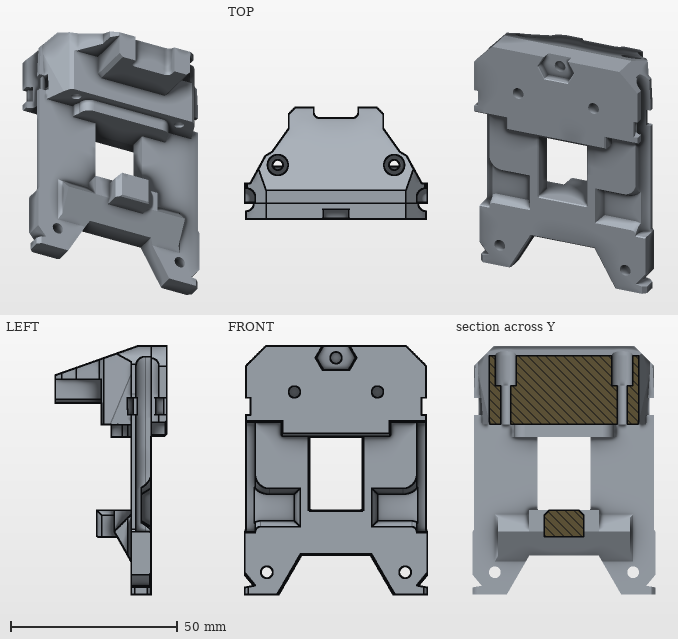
import cadquery as cq
import math


height = 74.85
clamp_thickness = 4.8
plate_thickness = 6.0
total_depth = 33.7
bracket_rear_y = total_depth - clamp_thickness
upper_half_width = 27.1
foot_half_width = 55.0 / 2
corner_chamfer = 6.1
edge_chamfer = 0.45
margin = 3.75
tolerance = 0.1

clamp_groove_radius = 4.7 / 2
groove_wall_x = 24.25
groove_depth = 4.6
groove_floor_z = 18.85
groove_lip = 0.3

notch_bottom_z = 54.1
notch_top_z = 59.2
notch_floor_x = 25.75
tunnel_center_y = 1.8
tunnel_outer_radius = 5.85
tunnel_inner_radius = 3.75

clamp_bottom_z = 51.9
tongue_half_width = 16.5
tongue_bottom_z = 47.6
tongue_chamfer = 0.9
screw_diameter = 3.5
clamp_screw_x = 12.5
clamp_screw_z = 61.0
nut_z = 71.25
nut_half_height = 3.6
nut_half_width = 5.9
nut_side_lean = 30.0
nut_pocket_depth = 3.0

shoulder_z = 19.6
arch_top_z = 11.8
arch_half_width = 10.4
arch_angle = 30.0
foot_inner_x = arch_half_width + arch_top_z * math.tan(math.radians(arch_angle))
foot_top_z = 2.2
foot_notch_x = 24.8
foot_notch_z = 2.7
foot_notch_top_z = 6.0
foot_chamfer = 1.1
foot_screw_x = 20.8
foot_screw_z = 6.7

window_half_width = 7.9
window_bottom_z = 25.45
sill_chamfer = 0.3
boss_bottom_z = 47.4
pocket_inner_x = 10.8
pocket_bottom_z = 20.4
pocket_top_z = 31.95
pocket_depth = 3.0
pocket_draft = 30.5
pocket_top_radius = 4.1
pocket_bottom_radius = 1.5

bracket_bottom_z = 51.1
flange_bottom_z = 64.75
flange_front_y = 15.0
roof_start_y = 3.9
roof_rear_z = 66.0
bracket_root_x = 25.8
shoulder_side = (21.25, 14.3)
shoulder_rear = (19.15, 15.6)
neck_half_width = 14.2
neck_front_y = 22.5
neck_chamfer = 2.0
taper_top_z = 66.6
taper_root_x = 24.7
taper_rear_y = 12.4
lug_half_width = 12.0
lug_bottom_z = 57.6
lug_chamfer = 1.1
rear_slot_half_width = 6.65
rear_slot_y = 25.7
rear_slot_radius = 1.65
bolt_x = 17.5
bolt_y = 11.5
bolt_diameter = 3.1
bolt_head_diameter = 6.2
bolt_seat_z = 62.9
boss_half_width = 15.0
boss_rear_y = 12.05
boss_radius = 3.3
boss_root_half_width = 15.7
boss_root_y = 7.0
boss_side_y = 8.7

strip_draft_start_z = 60.5
strip_draft = 0.75

ledge_top_z = window_bottom_z
ledge_half_width = 10.5
ledge_rear_y = 11.1
rib_crest_z = 19.0
rib_bottom_z = 9.95
rib_half_width = 19.8
rib_flare = 1.0
stop_half_width = 6.0
stop_rear_y = 16.4
stop_bottom_z = 17.3
stop_chamfer = 1.5


def block(x_range, y_range, z_range):
    """Box between the given lower and upper limits."""
    sizes = [upper - lower for lower, upper in (x_range, y_range, z_range)]
    corner = (x_range[0], y_range[0], z_range[0])
    return cq.Workplane("XY").box(*sizes, centered=False).translate(corner)


def mirrored_pair(shape):
    """The shape on the +X side together with its mirror image on the -X side."""
    return shape.union(shape.mirror("YZ"))


def full_outline(half_points):
    """Close a +X half outline with its mirror image."""
    return half_points + [(-x, v) for x, v in reversed(half_points)]


def xz_sketch(y):
    """Sketch plane at the given y, with x to the right, z up and its normal toward -Y."""
    return cq.Workplane(cq.Plane(origin=(0, y, 0), xDir=(1, 0, 0), normal=(0, -1, 0)))


def along_y(points, start_y, end_y):
    """Extrude an XZ outline from start_y to end_y."""
    return xz_sketch(start_y).polyline(points).close().extrude(start_y - end_y)


def along_z(points, bottom_z, top_z):
    """Extrude an XY outline from bottom_z to top_z."""
    return cq.Workplane("XY", origin=(0, 0, bottom_z)).polyline(points).close().extrude(top_z - bottom_z)


def along_x(points, half_width):
    """Extrude a YZ outline symmetrically about x = 0."""
    return cq.Workplane("YZ").polyline(points).close().extrude(half_width, both=True)


def y_holes(diameter, places, start_y, end_y):
    """Round cutters parallel to Y at the given (x, z) places."""
    return xz_sketch(start_y).pushPoints(places).circle(diameter / 2).extrude(start_y - end_y)


def bolt_holes(diameter, bottom_z, top_z):
    """Round vertical cutters at the two bolt places."""
    places = [(-bolt_x, bolt_y), (bolt_x, bolt_y)]
    sketch = cq.Workplane("XY", origin=(0, 0, bottom_z)).pushPoints(places)
    return sketch.circle(diameter / 2).extrude(top_z - bottom_z)


def top_corner_cut():
    """Cutter for the 45 degree corners at the top of both bodies."""
    reach = corner_chamfer + margin
    points = [
        (upper_half_width + margin, height - reach),
        (upper_half_width + margin, height + margin),
        (upper_half_width - reach, height + margin),
    ]
    return mirrored_pair(along_y(points, -clamp_thickness - margin, bracket_rear_y))


def side_notch_cut():
    """Shallow tie notch through the side of both bodies."""
    x_range = (notch_floor_x, foot_half_width + margin)
    y_range = (-clamp_thickness - margin, bracket_rear_y)
    return mirrored_pair(block(x_range, y_range, (notch_bottom_z, notch_top_z)))


def tie_tunnel():
    """Ring-shaped tie passage around each rod groove, shared by both bodies."""
    ring = (
        cq.Workplane("XY", origin=(0, 0, notch_bottom_z))
        .center(upper_half_width, tunnel_center_y)
        .circle(tunnel_outer_radius)
        .circle(tunnel_inner_radius)
        .extrude(notch_top_z - notch_bottom_z)
    )
    return mirrored_pair(ring)


def clamp_blank():
    """Clamp outline with its tongue and beveled lower edges."""
    outline = full_outline([
        (tongue_half_width, tongue_bottom_z),
        (tongue_half_width, clamp_bottom_z),
        (upper_half_width, clamp_bottom_z),
        (upper_half_width, height),
    ])
    body = along_y(outline, -clamp_thickness, 0)
    front = -clamp_thickness
    tongue_edge = cq.selectors.BoxSelector(
        (-tolerance, front - tolerance, tongue_bottom_z - tolerance),
        (tolerance, front + tolerance, tongue_bottom_z + tolerance),
    )
    step_edges = cq.selectors.BoxSelector(
        (-upper_half_width, front - tolerance, tongue_bottom_z + tolerance),
        (upper_half_width, front + tolerance, clamp_bottom_z + tolerance),
    )
    body = body.edges(step_edges).chamfer(edge_chamfer)
    body = body.edges(tongue_edge).chamfer(tongue_chamfer)
    corner = along_y(
        [
            (tongue_half_width - edge_chamfer, tongue_bottom_z),
            (tongue_half_width, tongue_bottom_z),
            (tongue_half_width, tongue_bottom_z + edge_chamfer),
        ],
        front,
        0,
    )
    return body.cut(mirrored_pair(corner))


def nut_pocket():
    """Six-sided nut recess, open at the top edge, with a chamfered rim."""
    flat_half_width = nut_half_width - nut_half_height * math.tan(math.radians(nut_side_lean))

    def section(grow, y):
        """Nut outline at the given y, with every side moved out by grow."""
        corner_grow = grow / math.cos(math.radians(nut_side_lean))
        half_height = nut_half_height + grow
        flat = flat_half_width + grow * math.tan(math.radians(nut_side_lean))
        points = full_outline([
            (flat, nut_z - half_height),
            (nut_half_width + corner_grow, nut_z),
            (flat, nut_z + half_height),
        ])
        return xz_sketch(y).polyline(points).close()

    front = -clamp_thickness
    rim_depth = edge_chamfer / 2
    pocket = section(0, front + nut_pocket_depth).extrude(nut_pocket_depth)
    rim_wires = [section(0, front + rim_depth).val(), section(rim_depth, front).val()]
    rim = cq.Workplane(obj=cq.Solid.makeLoft(rim_wires, True))
    return pocket.union(rim)


def make_clamp():
    """Front clamp with its nut recess, screw holes and quarter-round rod grooves."""
    body = clamp_blank().cut(top_corner_cut()).cut(side_notch_cut()).cut(tie_tunnel()).cut(nut_pocket())
    groove_sketch = cq.Workplane("XY").center(upper_half_width, 0).circle(clamp_groove_radius)
    groove = groove_sketch.extrude(height + margin)
    screws = [(-clamp_screw_x, clamp_screw_z), (clamp_screw_x, clamp_screw_z), (0, nut_z)]
    body = body.cut(mirrored_pair(groove))
    return body.cut(y_holes(screw_diameter, screws, -clamp_thickness - margin, margin))


def plate():
    """Plate with the feet, the arch between them and the side shoulders."""
    outline = full_outline([
        (arch_half_width, arch_top_z),
        (foot_inner_x, 0),
        (foot_half_width, 0),
        (foot_half_width, foot_top_z),
        (foot_notch_x, foot_notch_z),
        (foot_half_width, foot_notch_top_z),
        (foot_half_width, groove_floor_z),
        (upper_half_width, shoulder_z),
        (upper_half_width, height),
    ])
    body = along_y(outline, 0, plate_thickness)
    arch_and_notch_edges = cq.selectors.BoxSelector(
        (-upper_half_width, -tolerance, foot_notch_z + tolerance),
        (upper_half_width, tolerance, arch_top_z + tolerance),
    )
    foot_corners = cq.selectors.BoxSelector(
        (-foot_half_width - margin, -margin, 0),
        (foot_half_width + margin, plate_thickness + margin, foot_top_z),
    )
    body = body.edges(arch_and_notch_edges).chamfer(edge_chamfer)
    return body.edges("|Z").edges(foot_corners).chamfer(foot_chamfer)


def bracket():
    """Overhanging rear bracket with its tapered flanks, lug and boss."""
    outline = full_outline([
        (bracket_root_x, plate_thickness),
        shoulder_side,
        shoulder_rear,
        (neck_half_width, neck_front_y),
        (neck_half_width, bracket_rear_y - neck_chamfer),
        (neck_half_width - neck_chamfer, bracket_rear_y),
    ])
    body = along_z(outline, bracket_bottom_z, height)
    undercut = block(
        (-bracket_root_x, bracket_root_x), (flange_front_y, bracket_rear_y + margin), (0, flange_bottom_z)
    )
    body = body.cut(undercut).cut(bracket_taper())

    lug = block(
        (-lug_half_width, lug_half_width), (flange_front_y, bracket_rear_y), (lug_bottom_z, flange_bottom_z)
    )
    lug = lug.faces("<Z").edges("|Y").chamfer(lug_chamfer)

    boss_plan = full_outline([
        (boss_root_half_width, plate_thickness),
        (boss_root_half_width, boss_root_y),
        (boss_half_width, boss_side_y),
        (boss_half_width, boss_rear_y),
    ])
    boss = along_z(boss_plan, boss_bottom_z, bracket_bottom_z)
    boss = boss.faces(">Y").edges("|Z").fillet(boss_radius)
    return body.union(lug).union(boss).cut(rear_slot())


def bracket_taper():
    """Blocks that narrow the flanks downward, each cutting along a plane set by three points."""
    flank_slope = (bracket_root_x - shoulder_side[0]) / (shoulder_side[1] - plate_thickness)
    rear_x = bracket_root_x - flank_slope * (taper_rear_y - plate_thickness)
    root = cq.Vector(taper_root_x, plate_thickness, bracket_bottom_z)
    top = cq.Vector(bracket_root_x, plate_thickness, taper_top_z)
    rear = cq.Vector(rear_x, taper_rear_y, bracket_bottom_z)
    along = top - root
    outward = (rear - root).cross(along)
    plane = cq.Plane(origin=root.toTuple(), xDir=along.toTuple(), normal=outward.toTuple())
    return mirrored_pair(cq.Workplane(plane).rect(height, height).extrude(height / 4))


def rear_slot():
    """Slot with rounded corners in the rear edge of the bracket and lug."""
    slot = block(
        (-rear_slot_half_width, rear_slot_half_width), (rear_slot_y, bracket_rear_y + margin), (0, height)
    )
    return slot.edges("|Z and <Y").fillet(rear_slot_radius)


def ledge():
    """Ledge under the window, the wide rib that carries it, and the stop block behind it."""
    shelf = along_x(
        [
            (plate_thickness, ledge_top_z),
            (ledge_rear_y, ledge_top_z),
            (ledge_rear_y, rib_crest_z),
            (plate_thickness, rib_bottom_z),
        ],
        ledge_half_width,
    )
    rib_top_z = rib_crest_z + ledge_rear_y - plate_thickness
    rib = along_x(
        [(plate_thickness, rib_top_z), (ledge_rear_y, rib_crest_z), (plate_thickness, rib_bottom_z)],
        rib_half_width + rib_flare,
    )
    flared_plan = full_outline([
        (rib_half_width + rib_flare, plate_thickness),
        (rib_half_width, plate_thickness + rib_flare),
        (rib_half_width, ledge_rear_y),
    ])
    rib = rib.intersect(along_z(flared_plan, 0, height))

    stop = block(
        (-stop_half_width, stop_half_width), (plate_thickness, stop_rear_y), (stop_bottom_z, ledge_top_z)
    )
    stop = stop.edges("|Z and >Y").chamfer(stop_chamfer)
    stop = stop.faces(">Z").edges("|Y").chamfer(stop_chamfer)
    stop = stop.faces("<Z").edges(">Y").chamfer(edge_chamfer)
    arch = along_y(full_outline([(arch_half_width, arch_top_z), (foot_inner_x, 0)]), 0, stop_rear_y)
    return shelf.union(rib).union(stop).cut(arch)


def roof_cut():
    """Everything above the roof that slopes down to the rear."""
    slope = (height - roof_rear_z) / (bracket_rear_y - roof_start_y)
    rear_y = bracket_rear_y + margin
    points = [(roof_start_y, height), (rear_y, height - slope * (rear_y - roof_start_y)), (rear_y, height)]
    return along_x(points, upper_half_width + margin)


def rod_groove():
    """Groove with a rounded inner corner, above a floor whose front edge is beveled."""
    x_range = (groove_wall_x, foot_half_width + margin)
    groove = block(x_range, (-margin, groove_depth), (groove_floor_z, height + margin))
    groove = groove.edges("|Z and <X and >Y").fillet(upper_half_width - groove_wall_x)
    lip_section = [(0, groove_floor_z), (groove_lip, groove_floor_z), (0, groove_floor_z - groove_lip)]
    lip = along_x(lip_section, foot_half_width).intersect(block(x_range, (0, margin), (0, height)))
    return mirrored_pair(groove.union(lip))


def strip_draft_cut():
    """Slight draft on the strip behind each groove, leaning in by strip_draft at full height."""
    points = [
        (upper_half_width, strip_draft_start_z),
        (upper_half_width + margin, strip_draft_start_z),
        (upper_half_width + margin, height),
        (upper_half_width - strip_draft, height),
    ]
    return mirrored_pair(along_y(points, -margin, plate_thickness + margin))


def window():
    """Window through the plate with a beveled front rim and sill."""
    opening = block(
        (-window_half_width, window_half_width), (-margin, plate_thickness), (window_bottom_z, boss_bottom_z)
    )
    opening = opening.edges("|Y and <Z").fillet(edge_chamfer)
    rim_half_width = window_half_width + edge_chamfer
    rim_points = full_outline([(rim_half_width, 0), (window_half_width, edge_chamfer)])
    rim = along_z(rim_points, window_bottom_z, boss_bottom_z)
    sill = along_x(
        [(0, window_bottom_z - sill_chamfer), (0, window_bottom_z), (sill_chamfer, window_bottom_z)],
        window_half_width,
    )
    return opening.union(rim).union(sill)


def front_pocket():
    """Drafted pocket that opens into the rod groove through rounded corners."""
    top_x = groove_wall_x - pocket_top_radius
    bottom_x = groove_wall_x - pocket_bottom_radius
    outer_x = foot_half_width + margin
    diagonal = math.sqrt(0.5)
    pocket = (
        cq.Workplane(cq.Plane(origin=(0, 0, 0), xDir=(-1, 0, 0), normal=(0, 1, 0)))
        .moveTo(-pocket_inner_x, pocket_bottom_z)
        .lineTo(-pocket_inner_x, pocket_top_z)
        .lineTo(-top_x, pocket_top_z)
        .threePointArc(
            (-top_x - pocket_top_radius * diagonal, pocket_top_z + pocket_top_radius * (1 - diagonal)),
            (-groove_wall_x, pocket_top_z + pocket_top_radius),
        )
        .lineTo(-outer_x, pocket_top_z + pocket_top_radius)
        .lineTo(-outer_x, pocket_bottom_z - pocket_bottom_radius)
        .lineTo(-groove_wall_x, pocket_bottom_z - pocket_bottom_radius)
        .threePointArc(
            (-bottom_x - pocket_bottom_radius * diagonal,
             pocket_bottom_z - pocket_bottom_radius * (1 - diagonal)),
            (-bottom_x, pocket_bottom_z),
        )
        .close()
        .extrude(pocket_depth, taper=pocket_draft)
    )
    return mirrored_pair(pocket)


def make_carriage():
    """Plate, bracket and ledge as one solid, less the grooves, window, pockets and holes."""
    body = plate().union(bracket()).union(ledge())
    body = body.cut(top_corner_cut()).cut(roof_cut()).cut(strip_draft_cut())
    body = body.cut(rod_groove()).cut(side_notch_cut()).cut(tie_tunnel())
    body = body.cut(window()).cut(front_pocket())
    foot_screws = [(-foot_screw_x, foot_screw_z), (foot_screw_x, foot_screw_z)]
    body = body.cut(y_holes(screw_diameter, foot_screws, -margin, plate_thickness + margin))
    body = body.cut(bolt_holes(bolt_diameter, boss_bottom_z - margin, height))
    return body.cut(bolt_holes(bolt_head_diameter, bolt_seat_z, height))


clamp = make_clamp()
carriage = make_carriage()
result = cq.Compound.makeCompound([clamp.solids().val(), carriage.solids().val()])